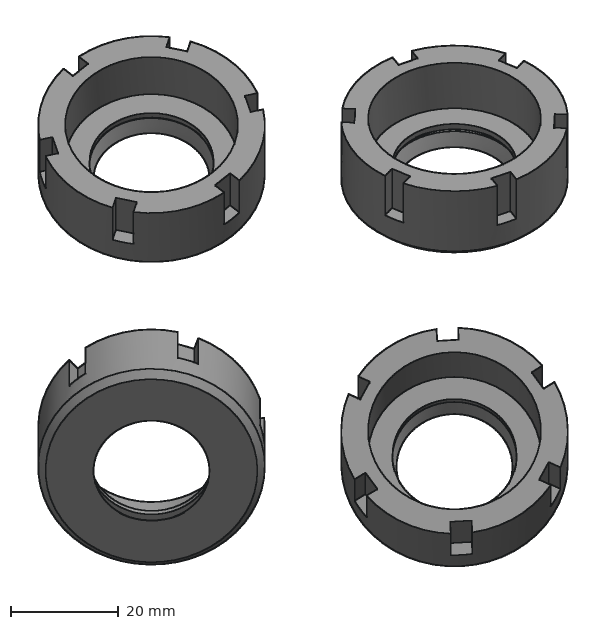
import cadquery as cq
import math

outer_diameter = 42.0
height = 16.0
outer_radius = outer_diameter / 2
edge_chamfer_height = 1.45
edge_chamfer_width = 1.4

socket_radius = 16.0
socket_depth = 11.0
floor_height = height - socket_depth
lip_radius = 11.5
lip_thickness = 1.3
groove_radius = 12.75
groove_width = 1.1
groove_top_height = floor_height - lip_thickness
groove_bottom_height = groove_top_height - groove_width
cone_top_radius = 12.22
cone_half_angle = math.radians(30)
hole_bottom_radius = cone_top_radius - groove_bottom_height * math.tan(cone_half_angle)

slot_count = 6
slot_width = 4.0
slot_depth = 9.5
slot_floor_radius = 18.5


def make_body():
    """Revolve the ring: socket, lip, undercut groove and cone narrowing downward."""
    return (
        cq.Workplane("XZ")
        .moveTo(hole_bottom_radius, 0)
        .lineTo(outer_radius - edge_chamfer_width, 0)
        .lineTo(outer_radius, edge_chamfer_height)
        .lineTo(outer_radius, height)
        .lineTo(socket_radius, height)
        .lineTo(socket_radius, floor_height)
        .lineTo(lip_radius, floor_height)
        .lineTo(lip_radius, groove_top_height)
        .lineTo(groove_radius, groove_top_height)
        .lineTo(groove_radius, groove_bottom_height)
        .lineTo(cone_top_radius, groove_bottom_height)
        .close()
        .revolve(360, (0, 0, 0), (0, 1, 0))
    )


def make_slots():
    """Boxes with flat inner walls, evenly spaced and starting on the X axis."""
    return (
        cq.Workplane("XY")
        .workplane(offset=height - slot_depth)
        .polarArray(slot_floor_radius, 0, 360, slot_count)
        .eachpoint(
            lambda place: cq.Workplane("XY")
            .box(outer_radius, slot_width, slot_depth, centered=(False, True, False))
            .val()
            .moved(place)
        )
    )


result = make_body().cut(make_slots())